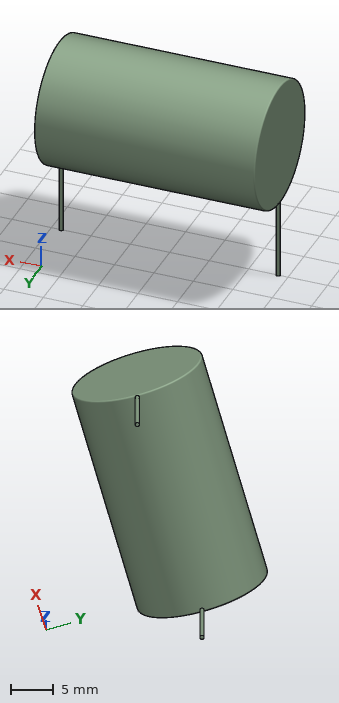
import cadquery as cq

CAN_LENGTH = 28.0
CAN_DIAMETER = 16.0
EDGE_FILLET = 0.2
LEAD_DIAMETER = 0.5
LEAD_LENGTH = 10.0

CAN_RADIUS = CAN_DIAMETER / 2
LEAD_X = (CAN_LENGTH - LEAD_DIAMETER) / 2


def make_can():
    """Cylinder centred on the origin, with rounded end rims."""
    return (
        cq.Workplane("YZ", origin=(-CAN_LENGTH / 2, 0, 0))
        .circle(CAN_RADIUS)
        .extrude(CAN_LENGTH)
        .faces("<X or >X")
        .edges()
        .fillet(EDGE_FILLET)
    )


def make_lead(x):
    """Straight round wire whose flat top touches the lowest line of the can."""
    return (
        cq.Workplane("XY", origin=(x, 0, -CAN_RADIUS))
        .circle(LEAD_DIAMETER / 2)
        .extrude(-LEAD_LENGTH)
    )


can = make_can()
leads = [make_lead(side * LEAD_X) for side in (-1, 1)]

result = cq.Compound.makeCompound([can.val(), *[lead.val() for lead in leads]])